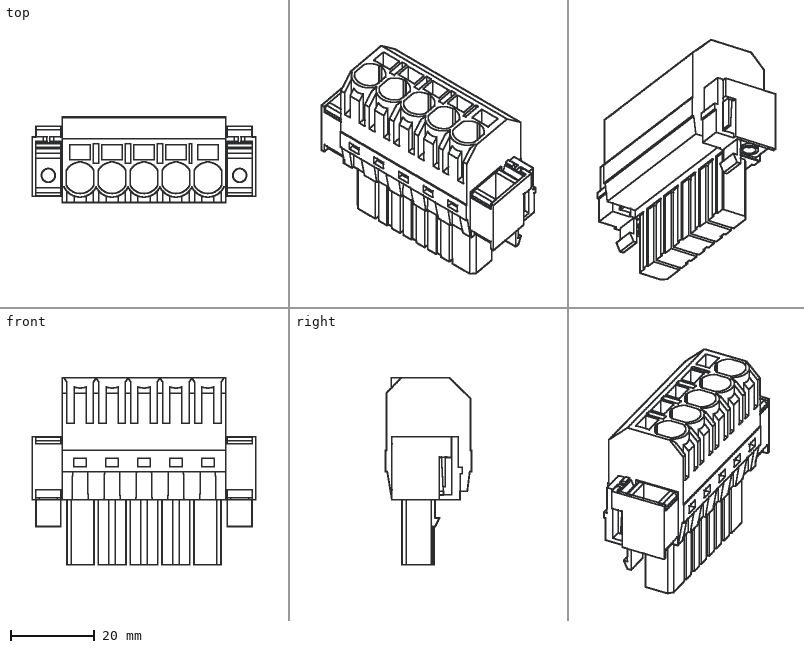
import cadquery as cq


POLES = 5
PITCH = 7.65
HOUSING_LENGTH = 39.05
TOP_Z = 44.7
WALL_Y = 10.1
CHAMFER_TOP_FRONT_Y = -6.45
CHAMFER_FRONT_Z = 41.0
CHAMFER_TOP_BACK_Y = 4.95
CHAMFER_BACK_Z = 39.7

BAND_Y = 10.3
BAND_BOTTOM_Z = 22.25
BAND_TOP_Z = 27.35
SKIRT_TOP_Y = 9.85
SKIRT_FRONT_Y = -8.75
SKIRT_BACK_Y = 9.3
SKIRT_BOTTOM_Z = 15.5
SKIRT_BACK_Z = 17.55
SKIRT_RECESS_Y = -8.15
SKIRT_RECESS_TOP_WIDTH = 3.6
SKIRT_RECESS_BOTTOM_WIDTH = 3.85
WINDOW_WIDTH = 2.95
WINDOW_BOTTOM_Z = 23.4
WINDOW_HEIGHT = 2.1
WINDOW_DEPTH = 1.25

ENTRY_Y = -4.3
ENTRY_RADIUS = 3.75
ENTRY_WIDTH = 6.6
ENTRY_CORNER_RADIUS = 1.35
ENTRY_DEPTH = 16.0
KEYWAY_WIDTH = 0.75
KEYWAY_DEPTH = 0.1
COLLAR_Y = -4.7
COLLAR_RADIUS = 4.2
FRONT_SLOT_WIDTH = 6.3
FRONT_SLOT_BOTTOM_Z = 33.75
TAB_WIDTH = 2.9
POCKET_WIDTH = 4.95
POCKET_FRONT_Y = 0.05
POCKET_BACK_Y = 3.65
GAP_SLOT_WIDTH = 1.4
GAP_SLOT_FRONT_Y = -0.8
GAP_SLOT_BACK_Y = 3.85

LEG_FRONT_Y = -6.35
LEG_BACK_Y = 0.9
LEG_RIB_BACK_Y = 1.35
LEG_GAP = 0.95
LEG_ROW_LENGTH = 36.8
LEG_FRONT_CHAMFER = 1.05
LEG_BACK_CHAMFER = 0.25
LEG_KEY_WIDTH = 1.5
LEG_GROOVE_DEPTH = 0.5

FLANGE_OUTER_X = -26.65
FLANGE_INNER_X = -HOUSING_LENGTH / 2
OUTER_WALL = 0.85
INNER_WALL = 0.3
CAVITY_X0 = FLANGE_OUTER_X + OUTER_WALL
CAVITY_X1 = FLANGE_INNER_X - INNER_WALL
CAVITY_MID_X = (CAVITY_X0 + CAVITY_X1) / 2
FLANGE_BOTTOM_Z = SKIRT_BOTTOM_Z
FLANGE_TOP_Z = 30.6
CROSS_WALL_TOP_Z = 30.5
FLANGE_FRONT_Y = SKIRT_FRONT_Y
REAR_WALL_Y = 2.6
REAR_WALL_CHAMFER = 1.05
POCKET_WALL_FRONT_Y = -6.7
POCKET_WALL_BACK_Y = 0.4
FLOOR_UNDERSIDE_Z = 16.05
FLOOR_THICKNESS = 1.05
SCREW_Y = -3.75
SCREW_HOLE_RADIUS = 1.6
SCREW_BOSS_RADIUS = 2.2
FOOT_RECESS_TOP_Z = 17.9
FOOT_RECESS_DEPTH = 1.1
LIP_RECESS = 0.15
LIP_BOTTOM_Z = 28.85
LIP_CHAMFER_Z = 29.6
LIP_CHAMFER_Y = -7.9

PLATE_FRONT_Y = 4.4
PLATE_BACK_Y = 5.45
SIDE_OPENING_TOP_Z = 25.7
PLATE_SLOT_WIDTH = 2.5
PLATE_SLOT_BOTTOM_Z = 28.85
LEVER_FRONT_Y = 5.55
RIB_WIDTH = 0.75
RIB_CLEARANCE = 0.1
LEVER_UPPER_Y = 7.15
LEVER_LOWER_Y = 7.6
LEVER_BUMP_Y = 8.0
BUMP_TOP_Z = 23.35
BUMP_BOTTOM_Z = 21.75
LEVER_FOOT_TOP_Z = 16.7
TONGUE_TOP_Y = 3.8
TONGUE_TOP_Z = 30.35
TONGUE_NOSE_Y = 2.95
TONGUE_NOSE_Z = 28.5
TONGUE_FOOT_Y = 3.6
TONGUE_BACK_Y = 4.05
TONGUE_BOTTOM_Z = 18.6
LATCH_FRONT_Y = 0.65
LATCH_BACK_Y = 1.6
LATCH_BOTTOM_Z = 9.1
HOOK_TIP_Y = 2.65
HOOK_Z = 11.25

pole_xs = [(i - (POLES - 1) / 2) * PITCH for i in range(POLES)]
gap_xs = [(left + right) / 2 for left, right in zip(pole_xs, pole_xs[1:])]


def block(x0, x1, y0, y1, z0, z1):
    """Box between two opposite corners."""
    return cq.Workplane("XY").box(x1 - x0, y1 - y0, z1 - z0, centered=False).translate((x0, y0, z0))


def centered_block(mid_x, width, y0, y1, z0, z1):
    """Box of a given X width about a middle X."""
    return block(mid_x - width / 2, mid_x + width / 2, y0, y1, z0, z1)


def profile(points, x0, x1):
    """A (y, z) outline carried along X from x0 to x1."""
    return cq.Workplane("YZ").polyline(points).close().extrude(x1 - x0).translate((x0, 0, 0))


def pillar(x, y, radius, z0, z1):
    """Upright cylinder."""
    return cq.Workplane("XY").center(x, y).circle(radius).extrude(z1 - z0).translate((0, 0, z0))


def housing_block():
    """Chamfered upper block, raised band and tapered skirt."""
    outline = [
        (SKIRT_FRONT_Y, SKIRT_BOTTOM_Z),
        (-SKIRT_TOP_Y, BAND_BOTTOM_Z),
        (-BAND_Y, BAND_BOTTOM_Z),
        (-BAND_Y, BAND_TOP_Z),
        (-WALL_Y, BAND_TOP_Z),
        (-WALL_Y, CHAMFER_FRONT_Z),
        (CHAMFER_TOP_FRONT_Y, TOP_Z),
        (CHAMFER_TOP_BACK_Y, TOP_Z),
        (WALL_Y, CHAMFER_BACK_Z),
        (WALL_Y, BAND_TOP_Z),
        (BAND_Y, BAND_TOP_Z),
        (BAND_Y, BAND_BOTTOM_Z),
        (SKIRT_TOP_Y, BAND_BOTTOM_Z),
        (SKIRT_BACK_Y, SKIRT_BACK_Z),
        (LEG_RIB_BACK_Y, SKIRT_BACK_Z),
        (LEG_RIB_BACK_Y, SKIRT_BOTTOM_Z),
    ]
    return profile(outline, -HOUSING_LENGTH / 2, HOUSING_LENGTH / 2)


def leg_row():
    """Row of legs, chamfered at both ends, split by gaps, ribbed behind, inner ones grooved in front."""
    half = LEG_ROW_LENGTH / 2
    row = block(-half, half, LEG_FRONT_Y, LEG_BACK_Y, 0, SKIRT_BOTTOM_Z)
    row = row.faces("<Y").edges("|Z").chamfer(LEG_FRONT_CHAMFER)
    row = row.faces(">Y").edges("|Z").chamfer(LEG_BACK_CHAMFER)
    for x in gap_xs:
        row = row.cut(centered_block(x, LEG_GAP, LEG_FRONT_Y, LEG_BACK_Y, 0, SKIRT_BOTTOM_Z))
    for x in pole_xs[1:-1]:
        groove_back = LEG_FRONT_Y + LEG_GROOVE_DEPTH
        row = row.cut(centered_block(x, LEG_KEY_WIDTH, LEG_FRONT_Y, groove_back, 0, SKIRT_BOTTOM_Z))
    for x in pole_xs:
        row = row.union(centered_block(x, LEG_KEY_WIDTH, LEG_BACK_Y, LEG_RIB_BACK_Y, 0, SKIRT_BOTTOM_Z))
    return row


def wire_entry(x):
    """Round wire entry with softly flattened sides and a shallow keyway at its back."""
    floor_z = TOP_Z - ENTRY_DEPTH
    front = ENTRY_Y - ENTRY_RADIUS
    back = ENTRY_Y + ENTRY_RADIUS
    bore = pillar(x, ENTRY_Y, ENTRY_RADIUS, floor_z, TOP_Z)
    bore = bore.intersect(centered_block(x, ENTRY_WIDTH, front, back, floor_z, TOP_Z))
    bore = bore.edges("|Z").fillet(ENTRY_CORNER_RADIUS)
    return bore.union(centered_block(x, KEYWAY_WIDTH, ENTRY_Y, back + KEYWAY_DEPTH, floor_z, TOP_Z))


def front_slots(x):
    """Pair of slots in the front face, either side of a tab."""
    span = (-WALL_Y, COLLAR_Y, FRONT_SLOT_BOTTOM_Z, TOP_Z)
    slots = centered_block(x, FRONT_SLOT_WIDTH, *span)
    return slots.cut(centered_block(x, TAB_WIDTH, *span))


def skirt_recess(x):
    """Upright recess in the skirt, slightly wider at its foot."""
    top = SKIRT_RECESS_TOP_WIDTH / 2
    bottom = SKIRT_RECESS_BOTTOM_WIDTH / 2
    outline = [
        (x - bottom, SKIRT_BOTTOM_Z),
        (x + bottom, SKIRT_BOTTOM_Z),
        (x + top, BAND_BOTTOM_Z),
        (x - top, BAND_BOTTOM_Z),
    ]
    face = cq.Workplane("XZ", origin=(0, SKIRT_RECESS_Y, 0)).polyline(outline).close()
    return face.extrude(BAND_Y + SKIRT_RECESS_Y)


def make_housing():
    """Housing with its legs, front features and top openings."""
    floor_z = TOP_Z - ENTRY_DEPTH
    body = housing_block().union(leg_row())
    for x in pole_xs:
        collar = pillar(x, COLLAR_Y, COLLAR_RADIUS, FRONT_SLOT_BOTTOM_Z, TOP_Z)
        window = centered_block(
            x, WINDOW_WIDTH, -BAND_Y, WINDOW_DEPTH - BAND_Y, WINDOW_BOTTOM_Z, WINDOW_BOTTOM_Z + WINDOW_HEIGHT
        )
        body = body.cut(front_slots(x)).union(collar)
        body = body.cut(skirt_recess(x)).cut(window)
    for x in pole_xs:
        pocket = centered_block(x, POCKET_WIDTH, POCKET_FRONT_Y, POCKET_BACK_Y, floor_z, TOP_Z)
        body = body.cut(wire_entry(x)).cut(pocket)
    for x in gap_xs:
        right = x if x == gap_xs[-1] else x + GAP_SLOT_WIDTH / 2
        slot = block(x - GAP_SLOT_WIDTH / 2, right, GAP_SLOT_FRONT_Y, GAP_SLOT_BACK_Y, floor_z, TOP_Z)
        body = body.cut(slot)
    return body


def flange_box():
    """Screw pocket: side walls, front wall, rear wall and a floor raised above the bottom rim."""
    box = block(
        FLANGE_OUTER_X, FLANGE_INNER_X, FLANGE_FRONT_Y, REAR_WALL_Y, FLANGE_BOTTOM_Z, FLANGE_TOP_Z
    )
    pocket = block(
        CAVITY_X0, CAVITY_X1, POCKET_WALL_FRONT_Y, POCKET_WALL_BACK_Y,
        FLOOR_UNDERSIDE_Z + FLOOR_THICKNESS, FLANGE_TOP_Z,
    )
    underside = block(
        CAVITY_X0, CAVITY_X1, FLANGE_FRONT_Y, POCKET_WALL_BACK_Y, FLANGE_BOTTOM_Z, FLOOR_UNDERSIDE_Z
    )
    foot_recess = block(
        CAVITY_X0, CAVITY_X1, FLANGE_FRONT_Y, FLANGE_FRONT_Y + FOOT_RECESS_DEPTH,
        FLANGE_BOTTOM_Z, FOOT_RECESS_TOP_Z,
    )
    lip_y = FLANGE_FRONT_Y + LIP_RECESS
    lip_outline = [
        (FLANGE_FRONT_Y, LIP_BOTTOM_Z),
        (lip_y, LIP_BOTTOM_Z),
        (lip_y, LIP_CHAMFER_Z),
        (LIP_CHAMFER_Y, CROSS_WALL_TOP_Z),
        (FLANGE_FRONT_Y, CROSS_WALL_TOP_Z),
    ]
    rear_chamfer = [
        (REAR_WALL_Y - REAR_WALL_CHAMFER, CROSS_WALL_TOP_Z),
        (REAR_WALL_Y, CROSS_WALL_TOP_Z),
        (REAR_WALL_Y, CROSS_WALL_TOP_Z - REAR_WALL_CHAMFER),
    ]
    rim_step = block(
        CAVITY_X0, CAVITY_X1, FLANGE_FRONT_Y, REAR_WALL_Y, CROSS_WALL_TOP_Z, FLANGE_TOP_Z
    )
    box = box.cut(pocket).cut(underside).cut(foot_recess).cut(rim_step)
    box = box.cut(profile(lip_outline, CAVITY_X0, CAVITY_X1))
    box = box.cut(profile(rear_chamfer, CAVITY_X0, CAVITY_X1))
    boss = pillar(CAVITY_MID_X, SCREW_Y, SCREW_BOSS_RADIUS, FLANGE_BOTTOM_Z, FLOOR_UNDERSIDE_Z)
    hole = pillar(CAVITY_MID_X, SCREW_Y, SCREW_HOLE_RADIUS, FLANGE_BOTTOM_Z, FLANGE_TOP_Z)
    return box.union(boss).cut(hole)


def flange_plate():
    """Upper extension of the outer wall and the slotted plate it carries."""
    wall = block(
        FLANGE_OUTER_X, CAVITY_X0, REAR_WALL_Y, PLATE_BACK_Y, SIDE_OPENING_TOP_Z, FLANGE_TOP_Z
    )
    plate = block(
        FLANGE_OUTER_X, FLANGE_INNER_X, PLATE_FRONT_Y, PLATE_BACK_Y, SIDE_OPENING_TOP_Z, FLANGE_TOP_Z
    )
    slot = centered_block(
        CAVITY_MID_X, PLATE_SLOT_WIDTH, PLATE_FRONT_Y, PLATE_BACK_Y, PLATE_SLOT_BOTTOM_Z, FLANGE_TOP_Z
    )
    return wall.union(plate).cut(slot)


def lever():
    """Back lever with its bump and foot."""
    outline = [
        (REAR_WALL_Y, FLANGE_BOTTOM_Z),
        (LEVER_LOWER_Y, FLANGE_BOTTOM_Z),
        (LEVER_LOWER_Y, BUMP_BOTTOM_Z),
        (LEVER_BUMP_Y, BUMP_BOTTOM_Z),
        (LEVER_BUMP_Y, BUMP_TOP_Z),
        (LEVER_UPPER_Y, BUMP_TOP_Z),
        (LEVER_UPPER_Y, FLANGE_TOP_Z),
        (LEVER_FRONT_Y, FLANGE_TOP_Z),
        (LEVER_FRONT_Y, LEVER_FOOT_TOP_Z),
        (REAR_WALL_Y, LEVER_FOOT_TOP_Z),
    ]
    return profile(outline, CAVITY_X0, CAVITY_X1)


def tongue():
    """Sloped tongue, joined to the lever and its foot by a narrow rib through the plate slot."""
    slope = [
        (TONGUE_TOP_Y, TONGUE_TOP_Z),
        (TONGUE_NOSE_Y, TONGUE_NOSE_Z),
        (TONGUE_FOOT_Y, LEVER_FOOT_TOP_Z),
    ]
    outline = slope + [(TONGUE_BACK_Y, LEVER_FOOT_TOP_Z), (TONGUE_BACK_Y, TONGUE_TOP_Z)]
    clearance = block(
        CAVITY_X0, CAVITY_X1, TONGUE_NOSE_Y, TONGUE_BACK_Y, LEVER_FOOT_TOP_Z, TONGUE_BOTTOM_Z
    )
    rib_outline = slope + [
        (LEVER_FRONT_Y, LEVER_FOOT_TOP_Z),
        (LEVER_FRONT_Y, FLANGE_TOP_Z),
        (TONGUE_BACK_Y, FLANGE_TOP_Z),
        (TONGUE_BACK_Y, TONGUE_TOP_Z),
    ]
    rib = profile(rib_outline, CAVITY_MID_X - RIB_WIDTH / 2, CAVITY_MID_X + RIB_WIDTH / 2)
    plate_gap = block(
        CAVITY_X0, CAVITY_X1, TONGUE_BACK_Y, LEVER_FRONT_Y,
        SIDE_OPENING_TOP_Z - RIB_CLEARANCE, PLATE_SLOT_BOTTOM_Z + RIB_CLEARANCE,
    )
    return profile(outline, CAVITY_X0, CAVITY_X1).cut(clearance).union(rib.cut(plate_gap))


def latch_arm():
    """Arm below the flange with a hook on its back."""
    outline = [
        (LATCH_FRONT_Y, LATCH_BOTTOM_Z),
        (LATCH_BACK_Y, LATCH_BOTTOM_Z),
        (HOOK_TIP_Y, HOOK_Z),
        (LATCH_BACK_Y, HOOK_Z),
        (LATCH_BACK_Y, FLANGE_BOTTOM_Z),
        (LATCH_FRONT_Y, FLANGE_BOTTOM_Z),
    ]
    return profile(outline, CAVITY_X0, CAVITY_X1)


def make_flange():
    """Flange on the -X side of the housing."""
    body = flange_box().union(flange_plate()).union(lever())
    return body.union(tongue()).union(latch_arm())


housing = make_housing()
left_flange = make_flange()
right_flange = left_flange.mirror("YZ")

bodies = [housing, left_flange, right_flange]
result = cq.Compound.makeCompound([body.solids().val() for body in bodies])